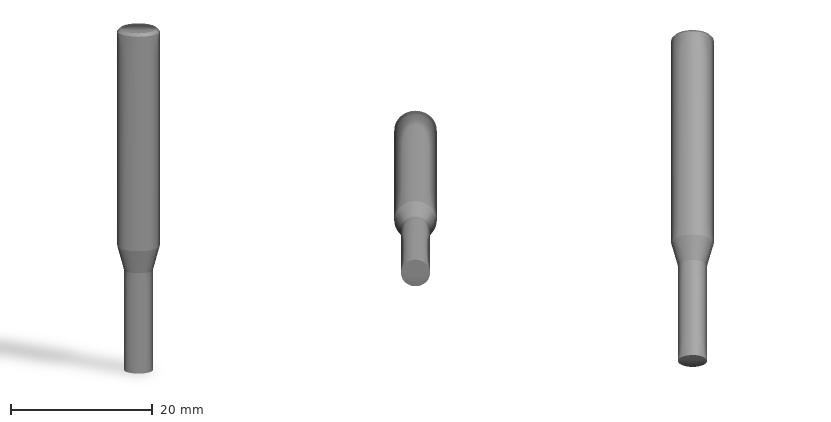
import cadquery as cq

total_length = 50.0
shank_diameter = 6.0
neck_diameter = 4.1

tip_length = 12.3
neck_top = 14.7
taper_top = 18.2
top_chamfer = 0.4


def make_shank():
    """Turned shank: short neck, cone, long cylinder and chamfered top."""
    neck_radius = neck_diameter / 2
    shank_radius = shank_diameter / 2
    return (
        cq.Workplane("XZ")
        .moveTo(0, tip_length)
        .lineTo(neck_radius, tip_length)
        .lineTo(neck_radius, neck_top)
        .lineTo(shank_radius, taper_top)
        .lineTo(shank_radius, total_length - top_chamfer)
        .lineTo(shank_radius - top_chamfer, total_length)
        .lineTo(0, total_length)
        .close()
        .revolve(360, (0, 0, 0), (0, 1, 0))
    )


def make_tip():
    """Plain cylindrical cutting tip, flush with the neck above it."""
    return cq.Workplane("XY").circle(neck_diameter / 2).extrude(tip_length)


shank = make_shank()
tip = make_tip()

result = cq.Compound.makeCompound([shank.val(), tip.val()])